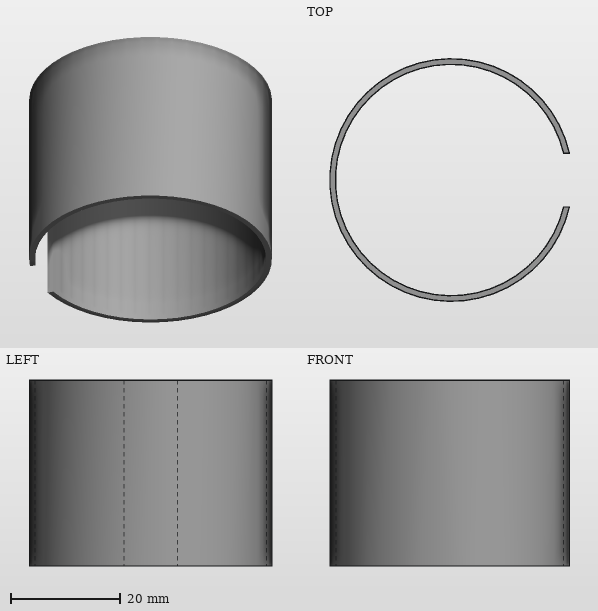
import cadquery as cq

outer_diameter = 44.4
wall = 1.05
height = 34.0
slit_width = 9.75

outer_radius = outer_diameter / 2
inner_radius = outer_radius - wall

tube = cq.Workplane("XY").circle(outer_radius).circle(inner_radius).extrude(height)

slit = cq.Workplane("XY").box(
    outer_diameter, slit_width, height, centered=(False, True, False)
)

result = tube.cut(slit)